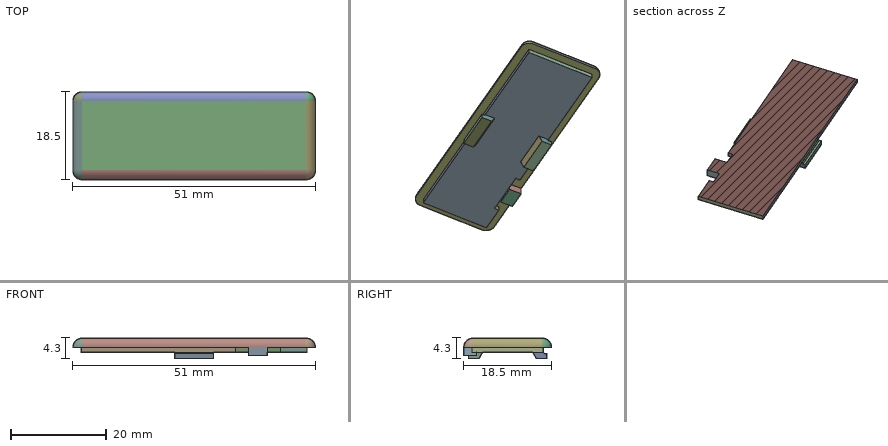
import cadquery as cq

PLATE_LENGTH = 51.0
PLATE_WIDTH = 18.5
PLATE_THICKNESS = 2.0
EDGE_RADIUS = PLATE_THICKNESS

PAD_LENGTH = 47.5
PAD_WIDTH = 15.0
PAD_DEPTH = 1.0

HOOK_LENGTH = 8.2
HOOK_BOTTOM_Z = -2.3
HOOK_TIP_Y = 8.25
HOOK_LEDGE_Z = -1.25
HOOK_LEDGE_INNER_Y = 7.75
HOOK_ROOT_INNER_Y = 5.25
HOOK_BOTTOM_INNER_Y = 6.0

STOP_CENTER_X = 13.4
STOP_LENGTH = 4.0
STOP_DEPTH = 1.7
NOTCH_LENGTH = 9.5
NOTCH_INSET = 1.0


def block(length, y_min, y_max, depth, center_x=0.0):
    """Box hanging from Z = 0 down to -depth."""
    width = y_max - y_min
    return (
        cq.Workplane("XY")
        .box(length, width, depth, centered=(True, False, False))
        .translate((center_x, y_min, -depth))
    )


def cover_plate():
    """Plate with quarter-round edges and spherical corners.

    It is rounded as a block of twice the thickness, then trimmed at Z = 0,
    so that the rounding ends exactly on the underside.
    """
    rounded = (
        cq.Workplane("XY")
        .workplane(offset=-PLATE_THICKNESS)
        .rect(PLATE_LENGTH, PLATE_WIDTH)
        .extrude(2 * PLATE_THICKNESS)
        .edges("|Z")
        .fillet(EDGE_RADIUS)
        .faces(">Z")
        .edges()
        .fillet(EDGE_RADIUS)
    )
    lower_half = block(PLATE_LENGTH, -PLATE_WIDTH / 2, PLATE_WIDTH / 2, PLATE_THICKNESS)
    return rounded.cut(lower_half)


def notched_pad():
    """Rectangular pad with a notch around the stop block."""
    pad_edge = PAD_WIDTH / 2
    pad = block(PAD_LENGTH, -pad_edge, pad_edge, PAD_DEPTH)
    notch = block(NOTCH_LENGTH, -pad_edge, -pad_edge + NOTCH_INSET, PAD_DEPTH, STOP_CENTER_X)
    return pad.cut(notch)


def stop_block():
    """Block from the notch wall out to the long edge of the plate."""
    notch_wall = -PAD_WIDTH / 2 + NOTCH_INSET
    return block(STOP_LENGTH, -PLATE_WIDTH / 2, notch_wall, STOP_DEPTH, STOP_CENTER_X)


def snap_hook():
    """Hook on the +Y side, with a sloped inner face and an outward lip."""
    profile = [
        (HOOK_ROOT_INNER_Y, -PAD_DEPTH),
        (PAD_WIDTH / 2, -PAD_DEPTH),
        (HOOK_LEDGE_INNER_Y, HOOK_LEDGE_Z),
        (HOOK_TIP_Y, HOOK_LEDGE_Z),
        (HOOK_TIP_Y, HOOK_BOTTOM_Z),
        (HOOK_BOTTOM_INNER_Y, HOOK_BOTTOM_Z),
    ]
    return cq.Workplane("YZ").polyline(profile).close().extrude(HOOK_LENGTH / 2, both=True)


hook = snap_hook()
result = (
    cover_plate()
    .union(notched_pad())
    .union(stop_block())
    .union(hook)
    .union(hook.mirror("XZ"))
)